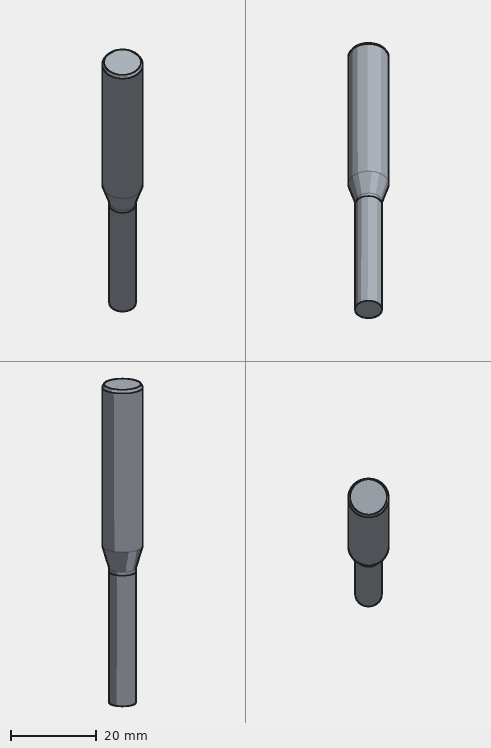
import cadquery as cq

total_length = 77.8
shank_diameter = 9.5
pin_diameter = 6.3

bottom_z = -total_length / 2
top_z = total_length / 2
pin_length = 32.0
collar_length = 0.9
taper_length = 5.4
pin_top_z = bottom_z + pin_length
taper_bottom_z = pin_top_z + collar_length
taper_top_z = taper_bottom_z + taper_length

chamfer_height = 0.8
chamfer_width = 0.5


def make_shank():
    """Chamfered shank that tapers down to a short collar, turned about Z."""
    shank_radius = shank_diameter / 2
    collar_radius = pin_diameter / 2
    return (
        cq.Workplane("XZ")
        .moveTo(0, pin_top_z)
        .lineTo(collar_radius, pin_top_z)
        .lineTo(collar_radius, taper_bottom_z)
        .lineTo(shank_radius, taper_top_z)
        .lineTo(shank_radius, top_z - chamfer_height)
        .lineTo(shank_radius - chamfer_width, top_z)
        .lineTo(0, top_z)
        .close()
        .revolve(360, (0, 0, 0), (0, 1, 0))
    )


def make_pin():
    """Plain cylindrical pin that meets the end face of the collar."""
    return cq.Workplane("XY").workplane(offset=bottom_z).circle(pin_diameter / 2).extrude(pin_length)


shank = make_shank()
pin = make_pin()

result = cq.Compound.makeCompound([shank.val(), pin.val()])